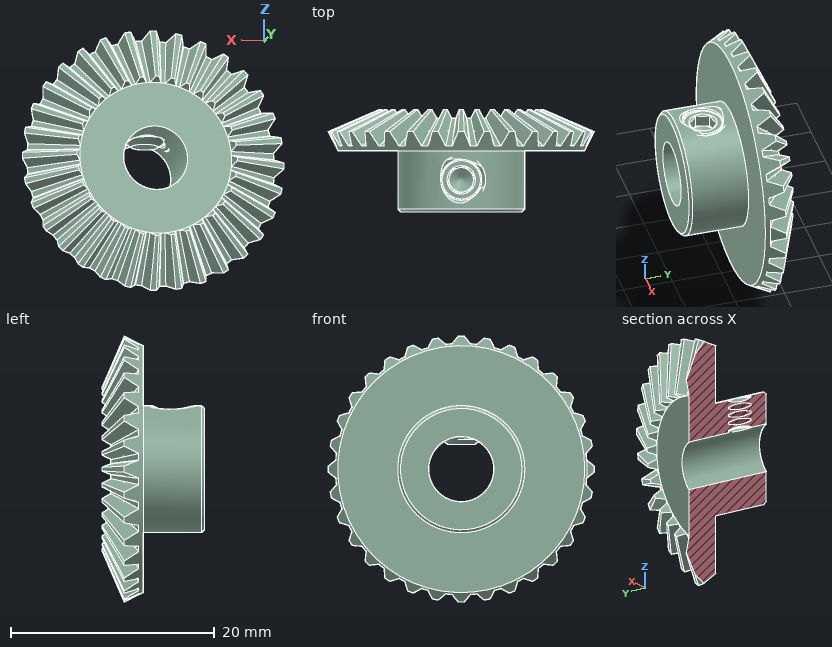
import cadquery as cq
import math

TOOTH_COUNT = 32
OUTER_RADIUS = 13.05
TIP_OUTER_Y = 1.88
BACK_RADIUS = 12.12
APEX_Y = 7.55
FRONT_Y = 4.07
ROOT_RADIUS = 12.35

HUB_RADIUS = 6.25
HUB_LENGTH = 6.0
HUB_CHAMFER = 0.3
BORE_RADIUS = 3.19

TIP_HALF_WIDTH = 0.3
FLANK_BASE_HALF_WIDTH = 0.84
ROOT_HALF_WIDTH = 1.0
FILLET_HEIGHT = 0.3
FILLET_BULGE = 0.03
FILLET_RUNOUT = 0.05
SECTION_MARGIN = 0.13
SECTION_REACH = 1.2

SCREW_Y = -2.85
SCREW_TOP_Z = 5.61
SCREW_TIP_Z = 2.4
THREAD_MINOR_RADIUS = 2.0
THREAD_MAJOR_RADIUS = 2.4
THREAD_PITCH = 0.795
THREAD_ANGLE = 60.0
THREAD_CREST_WIDTH = 0.1
THREAD_OVERLAP = 0.08
THREAD_START_Z = 1.8
THREAD_TURNS = 7
HOLE_REACH = 10.45
SCREW_FACE_RADIUS = 1.88
SCREW_TIP_RADIUS = 1.3
SCREW_TIP_RISE = 0.7
SOCKET_ACROSS_FLATS = 2.4
SOCKET_DEPTH = 1.3
SOCKET_TURN = 15.0
SOCKET_POINT_ANGLE = 120.0

BACK_SLOPE = TIP_OUTER_Y / (OUTER_RADIUS - BACK_RADIUS)
ROOT_OUTER_Y = (ROOT_RADIUS - BACK_RADIUS) * BACK_SLOPE
END_RATIO = (APEX_Y - FRONT_Y) / (APEX_Y - TIP_OUTER_Y)
TIP_INNER_RADIUS = OUTER_RADIUS * END_RATIO
ROOT_INNER_RADIUS = ROOT_RADIUS * END_RATIO
ROOT_INNER_Y = APEX_Y - (APEX_Y - ROOT_OUTER_Y) * END_RATIO
TOOTH_PITCH_ANGLE = 360.0 / TOOTH_COUNT


def revolve_about_y(points):
    return cq.Workplane("XY").polyline(points).close().revolve(360, (0, 0, 0), (0, 1, 0))


def make_blank():
    """Gear body out to the tooth tips, with the hub behind it, bored through."""
    profile = [
        (BORE_RADIUS, -HUB_LENGTH),
        (HUB_RADIUS - HUB_CHAMFER, -HUB_LENGTH),
        (HUB_RADIUS, -HUB_LENGTH + HUB_CHAMFER),
        (HUB_RADIUS, 0),
        (BACK_RADIUS, 0),
        (OUTER_RADIUS, TIP_OUTER_Y),
        (TIP_INNER_RADIUS, FRONT_Y),
        (ROOT_INNER_RADIUS, ROOT_INNER_Y),
        (BORE_RADIUS, ROOT_INNER_Y),
    ]
    return revolve_about_y(profile)


def make_tooth_ring():
    """Ring that the teeth fill, between the root and tip cones."""
    return revolve_about_y([
        (ROOT_RADIUS, ROOT_OUTER_Y),
        (OUTER_RADIUS, TIP_OUTER_Y),
        (TIP_INNER_RADIUS, FRONT_Y),
        (ROOT_INNER_RADIUS, ROOT_INNER_Y),
    ])


def make_clearance_ring():
    """Ring on the root cone that runs past the teeth at both ends and over their tips."""
    long_ratio = SECTION_REACH
    short_ratio = END_RATIO / SECTION_REACH

    def root_point(ratio):
        return (ROOT_RADIUS * ratio, APEX_Y - (APEX_Y - ROOT_OUTER_Y) * ratio)

    return revolve_about_y([
        root_point(long_ratio),
        (ROOT_RADIUS * long_ratio, APEX_Y),
        (ROOT_RADIUS * short_ratio, APEX_Y),
        root_point(short_ratio),
    ])


def make_tooth_wedge():
    """Tooth section on the +X side, drawn along its length toward the apex."""
    root_y = APEX_Y - (APEX_Y - ROOT_OUTER_Y) * OUTER_RADIUS / ROOT_RADIUS
    fillet_y = root_y + FILLET_HEIGHT
    low_y = root_y - SECTION_MARGIN
    top_y = TIP_OUTER_Y + SECTION_MARGIN
    flank_slope = (FLANK_BASE_HALF_WIDTH - TIP_HALF_WIDTH) / (TIP_OUTER_Y - fillet_y)
    top_half_width = TIP_HALF_WIDTH - SECTION_MARGIN * flank_slope
    runout_y = root_y - FILLET_RUNOUT
    bulge_y = (fillet_y + runout_y) / 2 - FILLET_BULGE
    bulge_half_width = (FLANK_BASE_HALF_WIDTH + ROOT_HALF_WIDTH) / 2 - FILLET_BULGE

    def section(ratio):
        x = OUTER_RADIUS * ratio

        def corner(half_width, y):
            return (half_width * ratio, (APEX_Y - y) * ratio)

        def mirrored(point):
            return (-point[0], point[1])

        low = corner(ROOT_HALF_WIDTH, low_y)
        runout = corner(ROOT_HALF_WIDTH, runout_y)
        bulge = corner(bulge_half_width, bulge_y)
        flank_base = corner(FLANK_BASE_HALF_WIDTH, fillet_y)
        top = corner(top_half_width, top_y)
        plane = cq.Plane(origin=(x, APEX_Y, 0), xDir=(0, 0, 1), normal=(1, 0, 0))
        outline = (
            cq.Workplane(plane)
            .moveTo(*low)
            .lineTo(*runout)
            .threePointArc(bulge, flank_base)
            .lineTo(*top)
            .lineTo(*mirrored(top))
            .lineTo(*mirrored(flank_base))
            .threePointArc(mirrored(bulge), mirrored(runout))
            .lineTo(*mirrored(low))
            .close()
        )
        return outline.val()

    sections = [section(END_RATIO / SECTION_REACH), section(SECTION_REACH)]
    return cq.Workplane(cq.Solid.makeLoft(sections, True))


def make_thread_ridge():
    """Right-handed V ridge around the screw axis, longer than the hub wall."""
    base_radius = THREAD_MINOR_RADIUS - THREAD_OVERLAP
    half_crest = 0.5 * THREAD_CREST_WIDTH
    half_base = half_crest + (THREAD_MAJOR_RADIUS - base_radius) * math.tan(math.radians(THREAD_ANGLE / 2))
    helix = cq.Wire.makeHelix(THREAD_PITCH, THREAD_PITCH * THREAD_TURNS, base_radius)
    ridge = (
        cq.Workplane("XZ")
        .polyline([
            (base_radius, -half_base),
            (THREAD_MAJOR_RADIUS, -half_crest),
            (THREAD_MAJOR_RADIUS, half_crest),
            (base_radius, half_base),
        ])
        .close()
        .sweep(cq.Workplane(helix), isFrenet=True)
    )
    return ridge.translate((0, SCREW_Y, THREAD_START_Z))


def make_tapped_hole(thread_ridge):
    """Space cut from one side of the hub: the drilled hole with the thread groove around it."""
    hole = cq.Workplane("XY", origin=(0, SCREW_Y, 0)).circle(THREAD_MINOR_RADIUS).extrude(HOLE_REACH)
    return hole.union(thread_ridge)


def revolve_about_screw(points):
    return (
        cq.Workplane("XZ", origin=(0, SCREW_Y, 0))
        .polyline(points)
        .close()
        .revolve(360, (0, 0, 0), (0, 1, 0))
    )


def screw_envelope(radius):
    """Screw outline at the given radius, with its end chamfer and tip cone."""
    return revolve_about_screw([
        (0, SCREW_TIP_Z),
        (SCREW_TIP_RADIUS, SCREW_TIP_Z),
        (radius, SCREW_TIP_Z + (radius - SCREW_TIP_RADIUS) * SCREW_TIP_RISE),
        (radius, SCREW_TOP_Z - (radius - SCREW_FACE_RADIUS)),
        (SCREW_FACE_RADIUS, SCREW_TOP_Z),
        (0, SCREW_TOP_Z),
    ])


def make_socket():
    """Hexagon socket with a lead-in cone at its mouth and a drill point below."""
    corner_radius = SOCKET_ACROSS_FLATS / math.sqrt(3)
    flat_radius = SOCKET_ACROSS_FLATS / 2
    floor_z = SCREW_TOP_Z - SOCKET_DEPTH
    hexagon = (
        cq.Workplane("XY")
        .polygon(6, 2 * corner_radius)
        .extrude(SOCKET_DEPTH)
        .rotate((0, 0, 0), (0, 0, 1), SOCKET_TURN)
        .translate((0, SCREW_Y, floor_z))
    )
    lead_in = revolve_about_screw([
        (0, SCREW_TOP_Z),
        (corner_radius, SCREW_TOP_Z),
        (flat_radius, SCREW_TOP_Z - (corner_radius - flat_radius)),
        (0, SCREW_TOP_Z - (corner_radius - flat_radius)),
    ])
    point_depth = flat_radius / math.tan(math.radians(SOCKET_POINT_ANGLE / 2))
    drill_point = revolve_about_screw([(0, floor_z), (flat_radius, floor_z), (0, floor_z - point_depth)])
    return hexagon.union(lead_in).union(drill_point)


ridge = make_thread_ridge()
wedge = make_tooth_wedge()

tooth = make_tooth_ring().intersect(wedge)

fixed_wedges = [
    wedge.rotate((0, 0, 0), (0, 1, 0), index * TOOTH_PITCH_ANGLE).val()
    for index in range(1, TOOTH_COUNT)
]
tooth_spaces = cq.Workplane(make_clearance_ring().val().cut(*fixed_wedges))
gear = make_blank().cut(make_tapped_hole(ridge)).cut(tooth_spaces)

screw = screw_envelope(THREAD_MINOR_RADIUS)
screw = screw.union(ridge.intersect(screw_envelope(THREAD_MAJOR_RADIUS + THREAD_OVERLAP)))
screw = screw.cut(make_socket())

result = cq.Compound.makeCompound([gear.val(), tooth.val(), screw.val()])